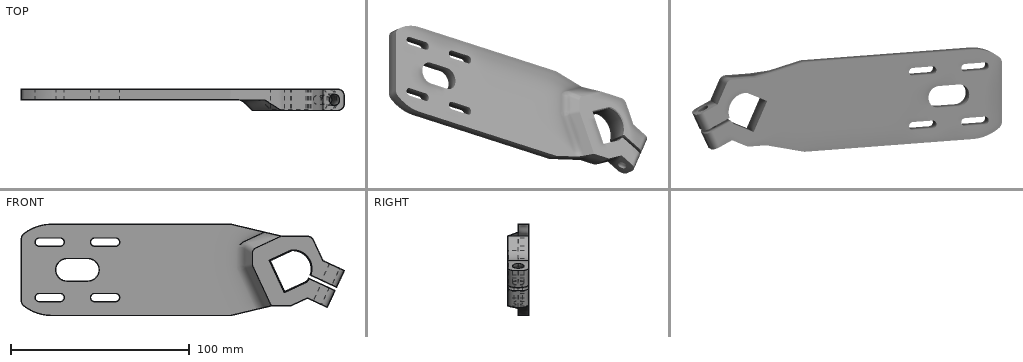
import cadquery as cq
import math

plate_thickness = 6.0
clamp_thickness = 12.0
overall_length = 180.85
half_width = 25.6
end_arc_centre_x = 17.2
taper_start_x = 117.3
end_corner_radius = 4.2
corner_radius = 5.0

head_top_z = 18.9
head_bottom_z = -20.2
head_top_left_x = 145.6
head_bottom_left_x = 140.0
clamp_tilt = 25.0
clamp_corner_radius = 4.0

bore_centre_z = 0.5
bore_square = 19.0
bore_round_radius = 10.2
bore_chamfer = 0.5

arm_reach = 26.5
arm_half_span = 11.35
upper_root_reach = 13.3
lower_root_reach = 14.3
arm_end_radius = 4.0
slit_width = 2.0

screw_reach = 20.4
screw_clearance_diameter = 6.3
screw_tap_diameter = 5.0

step_left_x = 129.4
step_wall_angle = 45.0
step_corner_radius = 5.0
step_base_radius = 6.0

slot_centre_x = 31.5
slot_pitch = 31.0
slot_length = 16.2
slot_width = 4.5
centre_slot_length = 24.2
centre_slot_width = 12.5

tilt = math.radians(clamp_tilt)
bore_centre_x = overall_length - arm_reach * math.cos(tilt) - arm_half_span * math.sin(tilt)
step_height = clamp_thickness - plate_thickness
step_spread = step_height * math.tan(math.radians(step_wall_angle))
wall_slope = math.tan(tilt)
step_upper_z = head_top_z - (head_top_left_x - step_left_x) * wall_slope
step_lower_z = head_bottom_z + (head_bottom_left_x - step_left_x) / wall_slope

reach = 300.0


def front_plane(y=0.0):
    """Sketch plane parallel to XZ at the given Y; extrusions go toward -Y."""
    return cq.Workplane("XZ", origin=(0, y, 0))


def arm_point(along, across):
    """X, Z of a point given along the arms and across them (positive up) from the bore centre."""
    x = bore_centre_x + along * math.cos(tilt) + across * math.sin(tilt)
    z = bore_centre_z - along * math.sin(tilt) + across * math.cos(tilt)
    return (x, z)


def outline(height):
    """Full silhouette of plate and clamp head, extruded from the back face."""
    end_z = math.sqrt(half_width**2 - end_arc_centre_x**2)
    mid_angle = (math.pi / 2 + math.atan2(end_z, -end_arc_centre_x)) / 2
    arc_mid_x = end_arc_centre_x + half_width * math.cos(mid_angle)
    arc_mid_z = half_width * math.sin(mid_angle)
    upper_root = arm_point(upper_root_reach, arm_half_span)
    lower_root = arm_point(lower_root_reach, -arm_half_span)
    head_top_right_x = upper_root[0] - (head_top_z - upper_root[1]) * wall_slope
    head_bottom_right_x = lower_root[0] - (lower_root[1] - head_bottom_z) / wall_slope
    body = (
        front_plane()
        .moveTo(0, end_z)
        .threePointArc((arc_mid_x, arc_mid_z), (end_arc_centre_x, half_width))
        .lineTo(taper_start_x, half_width)
        .lineTo(head_top_left_x, head_top_z)
        .lineTo(head_top_right_x, head_top_z)
        .lineTo(*upper_root)
        .lineTo(*arm_point(arm_reach, arm_half_span))
        .lineTo(*arm_point(arm_reach, -arm_half_span))
        .lineTo(*lower_root)
        .lineTo(head_bottom_right_x, head_bottom_z)
        .lineTo(head_bottom_left_x, head_bottom_z)
        .lineTo(taper_start_x, -half_width)
        .lineTo(end_arc_centre_x, -half_width)
        .threePointArc((arc_mid_x, -arc_mid_z), (0, -end_z))
        .close()
        .extrude(height)
    )
    rounded_corners = [
        ((0, end_z), end_corner_radius),
        ((0, -end_z), end_corner_radius),
        ((taper_start_x, half_width), corner_radius),
        ((taper_start_x, -half_width), corner_radius),
        ((head_top_left_x, head_top_z), corner_radius),
        ((head_top_right_x, head_top_z), clamp_corner_radius),
    ]
    for (x, z), radius in rounded_corners:
        corner_edge = cq.selectors.NearestToPointSelector((x, -height / 2, z))
        body = body.edges(corner_edge).fillet(radius)
    return body


def step_block():
    """Block whose left walls slope from the plate out to the clamp face."""
    front = [
        (step_left_x, step_upper_z),
        (step_left_x, step_lower_z),
        (step_left_x + (step_lower_z + reach) * wall_slope, -reach),
        (reach, -reach),
        (reach, step_upper_z + (reach - step_left_x) * wall_slope),
    ]
    return (
        front_plane(-plate_thickness)
        .polyline(front)
        .close()
        .offset2D(step_spread, "intersection")
        .extrude(step_height, taper=step_wall_angle)
    )


def wall_creases(z_low, z_high):
    """Selector for the sloped edges between the left walls, within a height range."""
    zone = cq.selectors.BoxSelector(
        (step_left_x - 2 * step_spread, -clamp_thickness, z_low),
        (step_left_x, -plate_thickness, z_high),
    )
    in_face = cq.selectors.PerpendicularDirSelector(cq.Vector(0, 1, 0))
    return zone - in_face


def step_shape():
    """Sloped step on an oversize slab, with a concave fillet along its left and lower walls."""
    slab = front_plane().rect(4 * reach, 4 * reach).extrude(plate_thickness)
    left_wall_z = (step_upper_z + step_lower_z) / 2
    block = step_block().edges(wall_creases(-half_width, left_wall_z)).fillet(step_corner_radius)
    shape = slab.union(block)
    base_edge = cq.selectors.NearestToPointSelector((step_left_x - step_spread, -plate_thickness, left_wall_z))
    shape = shape.edges(base_edge).fillet(step_base_radius)
    return shape.edges(wall_creases(left_wall_z, half_width)).fillet(step_corner_radius)


def bore_profile(plane, growth):
    """Bore outline centred on the given sketch, with every side moved out by growth."""
    half_square = bore_square / 2 + growth
    round_radius = bore_round_radius + growth
    round_start = math.sqrt(round_radius**2 - half_square**2)
    return (
        plane.moveTo(round_start, half_square)
        .lineTo(-half_square, half_square)
        .lineTo(-half_square, -half_square)
        .lineTo(round_start, -half_square)
        .threePointArc((round_radius, 0), (round_start, half_square))
        .close()
    )


def bore():
    """Through opening with a chamfered rim on the front face."""
    opening = bore_profile(front_plane(), 0).extrude(clamp_thickness)
    rim_base = bore_profile(front_plane(bore_chamfer - clamp_thickness), 0)
    rim = bore_profile(rim_base.workplane(offset=bore_chamfer), bore_chamfer).loft(ruled=True)
    cutter = opening.union(rim).rotate((0, 0, 0), (0, 1, 0), -clamp_tilt)
    return cutter.translate((bore_centre_x, 0, bore_centre_z))


def across_arms(along, across):
    """Workplane at mid thickness: local x along the arms, normal pointing down across them."""
    x, z = arm_point(along, across)
    return cq.Workplane(
        cq.Plane(
            origin=(x, -clamp_thickness / 2, z),
            xDir=(math.cos(tilt), 0, -math.sin(tilt)),
            normal=(-math.sin(tilt), 0, -math.cos(tilt)),
        )
    )


def slit():
    """Gap between the two arms, from the bore centre out to the arm ends."""
    return (
        across_arms(arm_reach / 2, slit_width / 2)
        .rect(arm_reach, clamp_thickness)
        .extrude(slit_width)
    )


def screw_hole():
    """Clearance hole through the upper arm and tapped hole through the lower one."""
    start = across_arms(screw_reach, arm_half_span)
    clearance = start.circle(screw_clearance_diameter / 2).extrude(arm_half_span)
    tapped = start.circle(screw_tap_diameter / 2).extrude(2 * arm_half_span)
    return clearance.union(tapped)


def mounting_slots():
    """Four adjustment slots around one wide centre slot."""
    small = (
        front_plane()
        .center(slot_centre_x, 0)
        .rarray(slot_pitch, slot_pitch, 2, 2)
        .slot2D(slot_length, slot_width)
        .extrude(plate_thickness)
    )
    centre = (
        front_plane()
        .center(slot_centre_x, 0)
        .slot2D(centre_slot_length, centre_slot_width)
        .extrude(plate_thickness)
    )
    return small.union(centre)


def round_arm_ends(body):
    """Round the long edges at the ends of both arms, front and back."""
    arm_middle = (arm_half_span + slit_width / 2) / 2
    for y in (0, -clamp_thickness):
        for across in (arm_middle, -arm_middle):
            x, z = arm_point(arm_reach, across)
            body = body.edges(cq.selectors.NearestToPointSelector((x, y, z))).fillet(arm_end_radius)
    return body


result = outline(clamp_thickness).intersect(step_shape())
result = round_arm_ends(result.cut(bore()).cut(slit()))
result = result.cut(screw_hole()).cut(mounting_slots())